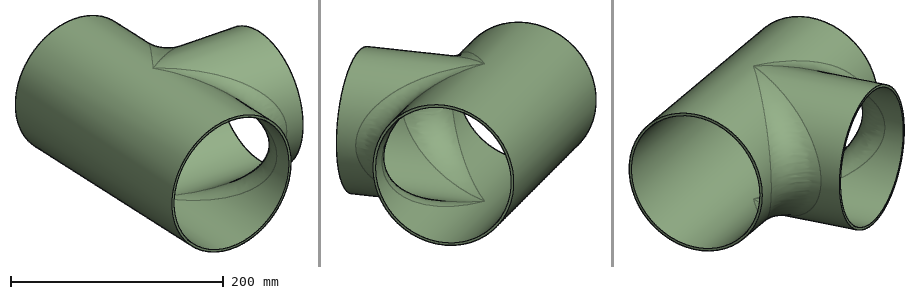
import cadquery as cq
import math

run_length = 248.0
outer_diameter = 139.5
inner_diameter = 134.5
branch_reach = run_length / 2
crotch_radius = 35.0
blend_centre = outer_diameter / 2 + crotch_radius
blend_sections = 9

z_axis = cq.Vector(0, 0, 1)


def crossing_pipes(diameter):
    """Solid run cylinder joined to a solid branch cylinder of the same diameter."""
    run = cq.Workplane("YZ").circle(diameter / 2).extrude(run_length / 2, both=True)
    branch = cq.Workplane("XZ").circle(diameter / 2).extrude(-branch_reach)
    return run.union(branch)


def half_ellipse(point, pipe_radius):
    """Half ellipse from the bottom to the top of the pipes, through a point at Z = 0."""
    outward = point.normalized()
    normal = z_axis.cross(outward) * -1
    return cq.Edge.makeEllipse(
        point.Length, pipe_radius, cq.Vector(), normal, outward, -90, 90
    )


def crotch_fill(diameter):
    """Filler for the corner on the +X side of the branch.

    Its blend is a concave arc in every horizontal plane. The arc shrinks with
    the pipe width, so it fades to a point at the top and bottom of the pipes.
    """
    pipe_radius = diameter / 2
    blend_radius = blend_centre - pipe_radius
    centre = cq.Vector(blend_centre, blend_centre, 0)
    arcs = []
    for index in range(blend_sections):
        angle = math.pi + math.pi / 2 * index / (blend_sections - 1)
        direction = cq.Vector(math.cos(angle), math.sin(angle), 0)
        arcs.append(half_ellipse(centre + direction * blend_radius, pipe_radius))

    sections = [cq.Wire.assembleEdges([arc]) for arc in arcs]
    blend_faces = cq.Solid.makeLoft(sections, False).faces("%BSPLINE").Faces()

    top_to_bottom = cq.Edge.makeLine(z_axis * pipe_radius, z_axis * -pipe_radius)
    flat_sides = [
        cq.Face.makeFromWires(cq.Wire.assembleEdges([arc, top_to_bottom]))
        for arc in (arcs[0], arcs[-1])
    ]
    shell = cq.Shell.makeShell(blend_faces + flat_sides)
    return cq.Workplane(cq.Solid.makeSolid(shell))


def blended_tee(diameter):
    """Solid tee shape with both corners filled."""
    fill = crotch_fill(diameter)
    return crossing_pipes(diameter).union(fill).union(fill.mirror("YZ"))


result = blended_tee(outer_diameter).cut(blended_tee(inner_diameter))